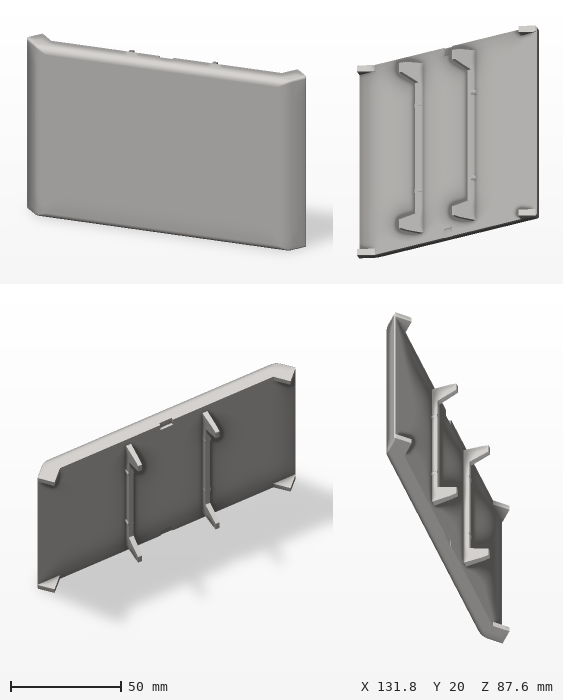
import cadquery as cq
import math


LENGTH = 131.8
HEIGHT = 87.6
BACK = 8.0
WALL = 2.0
RIM_FLAT = 0.5
BEVEL_ANGLE = 45.0
BEND_RADIUS = 9.0
EDGE_RADIUS = 3.2
BEVEL_EDGE_RADIUS = 1.0
DRAFT = 1.0

NOTCH_WIDTH = 6.3
TOP_NOTCH_DEPTH = 1.2
BOTTOM_NOTCH_DEPTH = 0.4

HOOK_RISE = 5.8
HOOK_STEP = 0.3
HOOK_THICKNESS = 2.9

TIP = 20.0
RIB_SPACING = 39.5
RIB_OUTER_OFFSET = 1.0
RIB_TIP_THICKNESS = 2.0
RIB_ROOT_THICKNESS = 2.9
RIB_RISE = 2.8
CLIP_TIP_Z = 38.2
CLIP_LEAD_IN = 3.2
LEAD_IN_ANGLE = 10.0
CLIP_ANGLE = 2.5
CLIP_TIP_INNER_Z = 33.9
CLIP_ROOT_INNER_Z = 30.0
PAD_DIAMETER = 3.2

HALF_LENGTH = LENGTH / 2
HALF_HEIGHT = HEIGHT / 2
BEVEL_START = BACK - RIM_FLAT


def tan_degrees(angle):
    return math.tan(math.radians(angle))


def prism_z(points, z_low, z_high):
    """Extrude an XY outline between two heights."""
    return cq.Workplane("XY").workplane(offset=z_low).polyline(points).close().extrude(z_high - z_low)


def prism_x(points, x_low, x_high):
    """Extrude a YZ outline between two X positions."""
    return cq.Workplane("YZ").workplane(offset=x_low).polyline(points).close().extrude(x_high - x_low)


def drafted_bar(half_height, front):
    """Full-length bar whose top and bottom open toward the back; half_height is at the rim."""
    front_half_height = half_height - (BACK - front) * tan_degrees(DRAFT)
    section = [
        (front, -front_half_height),
        (BACK, -half_height),
        (BACK, half_height),
        (front, front_half_height),
    ]
    return prism_x(section, -HALF_LENGTH, HALF_LENGTH)


def bevelled_plate(half_length, bevel_start, front):
    """Full-height plate bevelled at both ends."""
    front_half_length = half_length - (bevel_start - front) * tan_degrees(BEVEL_ANGLE)
    outline = [
        (-half_length, BACK),
        (-half_length, bevel_start),
        (-front_half_length, front),
        (front_half_length, front),
        (half_length, bevel_start),
        (half_length, BACK),
    ]
    return prism_z(outline, -HALF_HEIGHT, HALF_HEIGHT)


def make_outer_body():
    """Solid cover: bevels bent into the front face, and rounded long edges."""
    plate = bevelled_plate(HALF_LENGTH, BEVEL_START, 0)
    plate = plate.faces("<Y").edges("|Z").fillet(BEND_RADIUS)
    bar = drafted_bar(HALF_HEIGHT, 0)
    bar = bar.faces("<Y").edges("|X").fillet(EDGE_RADIUS)
    body = plate.intersect(bar)

    margin = 0.01
    for x_side in (-1, 1):
        for z_side in (-1, 1):
            near = (x_side * HALF_LENGTH / 2, margin, z_side * HALF_HEIGHT / 2)
            far = (x_side * (HALF_LENGTH - margin), BEVEL_START, z_side * HALF_HEIGHT)
            edges = body.edges(cq.selectors.BoxSelector(near, far))
            body = edges.fillet(BEVEL_EDGE_RADIUS)
    return body


def make_cavity():
    """Space behind the front wall, following the bevels at wall thickness."""
    bevel_shift = WALL * tan_degrees(BEVEL_ANGLE / 2)
    plate = bevelled_plate(HALF_LENGTH - WALL, BEVEL_START + bevel_shift, WALL)
    return plate.intersect(drafted_bar(HALF_HEIGHT - WALL, WALL))


def make_notch(depth, z_side):
    """Rectangular cut through the rim of the top (+1) or bottom (-1) wall."""
    cutter = cq.Workplane("XY").box(NOTCH_WIDTH, 2 * depth, 4 * WALL)
    return cutter.translate((0, BACK, z_side * HALF_HEIGHT))


def make_hook():
    """Gusset at the -X, +Z corner, footed on the inside of the front wall."""
    apex_x = -HALF_LENGTH + HOOK_RISE - HOOK_STEP
    inner_x = apex_x + HOOK_RISE
    outline = [
        (-HALF_LENGTH, BACK),
        (-HALF_LENGTH, BACK + HOOK_STEP),
        (apex_x, BACK + HOOK_RISE),
        (inner_x, BACK),
        (inner_x, WALL),
    ]
    hook_bottom = HALF_HEIGHT - HOOK_THICKNESS
    drafted_top = HALF_HEIGHT - HOOK_RISE * tan_degrees(DRAFT)
    side_section = [
        (WALL, hook_bottom),
        (BACK + HOOK_RISE, hook_bottom),
        (BACK + HOOK_RISE, drafted_top),
        (BACK, HALF_HEIGHT),
        (WALL, HALF_HEIGHT - WALL),
    ]
    return prism_z(outline, hook_bottom, HALF_HEIGHT).intersect(prism_x(side_section, -HALF_LENGTH, 0))


def make_rib():
    """Rib at -X with a clip at each end, standing on the front wall."""
    lead_in_start = TIP - CLIP_LEAD_IN
    lead_in_z = CLIP_TIP_Z + CLIP_LEAD_IN * tan_degrees(LEAD_IN_ANGLE)
    root_z = lead_in_z + (lead_in_start - WALL) * tan_degrees(CLIP_ANGLE)
    upper_half = [
        (BACK + RIB_RISE, CLIP_ROOT_INNER_Z),
        (TIP, CLIP_TIP_INNER_Z),
        (TIP, CLIP_TIP_Z),
        (lead_in_start, lead_in_z),
        (WALL, root_z),
    ]
    lower_half = [(y, -z) for y, z in reversed(upper_half)]
    side_shape = prism_x(upper_half + lower_half, -HALF_LENGTH, 0)

    outer_x = -RIB_SPACING / 2 - RIB_OUTER_OFFSET
    thickness = [
        (outer_x, WALL),
        (outer_x, TIP),
        (outer_x + RIB_TIP_THICKNESS, TIP),
        (outer_x + RIB_ROOT_THICKNESS, WALL),
    ]
    return side_shape.intersect(prism_z(thickness, -HALF_HEIGHT, HALF_HEIGHT))


def make_pad(x, z):
    """Round pad along Y, level with the low part of the rib."""
    length = BACK + RIB_RISE - WALL
    return cq.Workplane("XZ", origin=(x, WALL, z)).circle(PAD_DIAMETER / 2).extrude(-length)


def mirrored(solid, plane):
    """Add the mirror image across a plane through the centre."""
    return solid.union(solid.mirror(plane))


cover = make_outer_body().cut(make_cavity())

rib_with_pads = make_rib()
for pad_z in (-RIB_SPACING / 2, RIB_SPACING / 2):
    rib_with_pads = rib_with_pads.union(make_pad(-RIB_SPACING / 2, pad_z))

hooks = mirrored(mirrored(make_hook(), "YZ"), "XY")
ribs = mirrored(rib_with_pads, "YZ")

result = (
    cover.union(hooks)
    .union(ribs)
    .cut(make_notch(TOP_NOTCH_DEPTH, 1))
    .cut(make_notch(BOTTOM_NOTCH_DEPTH, -1))
)